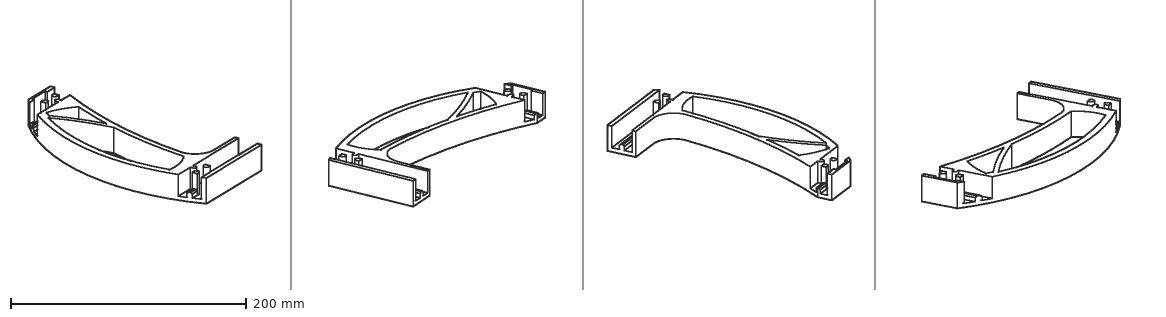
import cadquery as cq
import math

length = 217.0
depth = 96.8
height = 24.0

outer_center = (146.5, 201.8)
outer_radius = 201.8
outer_rail = 6.5
small_window_rail = 8.7
inner_center = (211.1, 435.7)
inner_radius = 392.3
inner_rail = 5.6

throat_center = (169.7, 65.3)
throat_radius = 19.7

left_end_center = (93.5, 25.8)
left_end_radius = 69.7
right_end_center = (138.9, 17.1)
right_end_radius = 43.0
strut_center = (125.9, -195.3)
strut_radius = 253.2
strut_thickness = 4.5

floor_thickness = 4.0
outer_wall = 4.3
inner_wall = 3.7
channel_width = 19.5
left_channel_end = outer_wall + channel_width
right_channel_end = length - outer_wall
right_channel_start = right_channel_end - channel_width
right_arm_face = right_channel_start - inner_wall

ridge_diameter = 5.2
ridge_sides = 8
ridge_axis_z = 6.7
left_ridge_x = 13.9
back_left_ridge_x = 13.5
right_ridge_x = 203.0
back_right_ridge_end = 71.0
middle_right_ridge_end = 60.5

left_pivot_y = 75.5
right_pivot_y = 25.8
post_near = 4.8
post_far = 10.0
side_post_diameter = 4.3
side_post_gap = 5.2
pivot_hole_diameter = 5.2

slot_start = 2.2
slot_end = 8.0


def disc(center, radius):
    return cq.Workplane("XY").center(*center).circle(radius).extrude(height)


def block(x0, x1, y0, y1, z0=0.0, z1=height):
    return cq.Workplane("XY").box(x1 - x0, y1 - y0, z1 - z0, centered=False).translate((x0, y0, z0))


def circle_low_point(center, radius, x):
    """Lower point of a circle at the given X."""
    return (x, center[1] - math.sqrt(radius**2 - (x - center[0]) ** 2))


def silhouette():
    """Full-height outline of the arm with both channel ends."""
    arm_start_x = inner_center[0] - math.sqrt(inner_radius**2 - (inner_center[1] - depth) ** 2)
    throat_start = circle_low_point(inner_center, inner_radius, throat_center[0])
    throat_mid = (
        throat_center[0] + throat_radius * math.cos(math.pi / 4),
        throat_center[1] - throat_radius * math.sin(math.pi / 4),
    )
    return (
        cq.Workplane("XY")
        .moveTo(0, depth)
        .lineTo(arm_start_x, depth)
        .threePointArc(
            circle_low_point(inner_center, inner_radius, (arm_start_x + throat_start[0]) / 2),
            throat_start,
        )
        .threePointArc(throat_mid, (right_arm_face, throat_center[1]))
        .lineTo(right_arm_face, depth)
        .lineTo(length, depth)
        .lineTo(*circle_low_point(outer_center, outer_radius, length))
        .threePointArc(
            circle_low_point(outer_center, outer_radius, length / 2),
            circle_low_point(outer_center, outer_radius, 0),
        )
        .close()
        .extrude(height)
    )


def windows():
    """Two through openings, one on each side of the strut."""
    between_rails = disc(outer_center, outer_radius - outer_rail).cut(
        disc(inner_center, inner_radius + inner_rail)
    )
    right_end_zone = block(0, right_end_center[0], 0, depth).union(
        disc(right_end_center, right_end_radius)
    )
    large = between_rails.intersect(right_end_zone).intersect(disc(strut_center, strut_radius))
    small = (
        between_rails.intersect(disc(left_end_center, left_end_radius))
        .intersect(disc(outer_center, outer_radius - small_window_rail))
        .cut(disc(strut_center, strut_radius + strut_thickness))
    )
    return large.union(small)


def ridge(x, y0, y1):
    """Floor bar running along Y with a faceted round top."""
    half_facet = 180 / ridge_sides
    half_width = ridge_diameter / 2 * math.cos(math.radians(half_facet))
    top = (
        cq.Workplane("XZ")
        .polygon(ridge_sides, ridge_diameter)
        .extrude(y0 - y1)
        .rotate((0, 0, 0), (0, 1, 0), half_facet)
        .translate((x, y0, ridge_axis_z))
    )
    return top.union(block(x - half_width, x + half_width, y0, y1, 0, ridge_axis_z))


def guide_post(x, pivot_y, side):
    """Post with a round end facing the pivot; side is +1 or -1 along Y."""
    radius = ridge_diameter / 2
    round_y = pivot_y + side * (post_near + radius)
    flat_y = pivot_y + side * post_far
    body = block(x - radius, x + radius, min(round_y, flat_y), max(round_y, flat_y))
    return body.union(disc((x, round_y), radius))


def side_post(wall_x, ridge_x, pivot_y):
    """Round-ended post reaching from the channel wall toward the ridge line."""
    radius = side_post_diameter / 2
    toward_wall = math.copysign(1, wall_x - ridge_x)
    round_x = ridge_x + toward_wall * (side_post_gap + radius)
    body = block(min(round_x, wall_x), max(round_x, wall_x), pivot_y - radius, pivot_y + radius)
    return body.union(disc((round_x, pivot_y), radius))


outline = silhouette()
part = outline.cut(windows())
for start, end in [(outer_wall, left_channel_end), (right_channel_start, right_channel_end)]:
    part = part.cut(block(start, end, 0, depth, floor_thickness, height))

ridges = [
    (left_ridge_x, 0, left_pivot_y - post_far),
    (back_left_ridge_x, left_pivot_y + post_far, depth),
    (right_ridge_x, 0, right_pivot_y - post_far),
    (right_ridge_x, right_pivot_y + post_far, middle_right_ridge_end),
    (right_ridge_x, back_right_ridge_end, depth),
]
for x, front_y, back_y in ridges:
    part = part.union(ridge(x, front_y, back_y).intersect(outline))

channels = [
    (left_ridge_x, left_channel_end, left_pivot_y),
    (right_ridge_x, right_channel_start, right_pivot_y),
]
for ridge_x, wall_x, pivot_y in channels:
    for side in (-1, 1):
        part = part.union(guide_post(ridge_x, pivot_y, side))
    part = part.union(side_post(wall_x, ridge_x, pivot_y))

part = part.cut(disc((left_ridge_x, left_pivot_y), pivot_hole_diameter / 2))
part = part.cut(block(slot_start, slot_end, left_pivot_y - post_far, left_pivot_y + post_far))

result = part